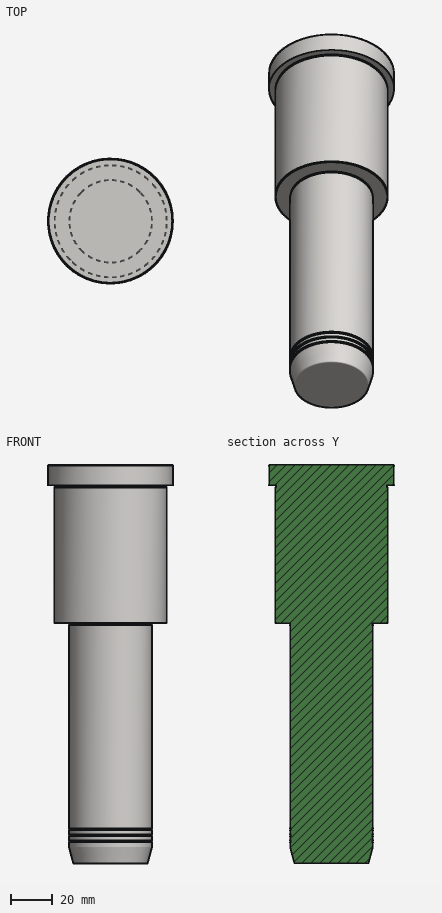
import cadquery as cq
import math

total_length = 191.0
head_diameter = 60.0
head_height = 10.0
head_edge_chamfer = 0.5

body_diameter = 54.0
body_bottom_z = 115.0
body_edge_chamfer = 0.4

pin_diameter = 40.0
nose_height = 8.0
nose_half_angle = 15.0
nose_edge_fillet = 0.5

head_neck_depth = 0.4
head_neck_height = 1.1
pin_neck_depth = 0.2
pin_neck_height = 1.0

groove_count = 3
groove_pitch = 2.9
groove_width = 1.0
groove_depth = 0.4
lowest_groove_z = 10.7

head_bottom_z = total_length - head_height
nose_tip_diameter = pin_diameter - 2 * nose_height * math.tan(math.radians(nose_half_angle))


def cylinder(diameter, bottom_z, top_z):
    """Cylinder on the Z axis between two heights."""
    return cq.Workplane("XY").workplane(offset=bottom_z).circle(diameter / 2).extrude(top_z - bottom_z)


def ring(profile):
    """Ring made by turning an (r, z) outline about the Z axis."""
    return cq.Workplane("XZ").polyline(profile).close().revolve(360, (0, 0, 0), (0, 1, 0))


def neck_cutter(diameter, shoulder_z, height, depth):
    """Relief directly under a shoulder, running out to the shaft at 45 degrees at its lower end."""
    outer = diameter / 2
    inner = outer - depth
    bottom_z = shoulder_z - height
    return ring([(outer, bottom_z), (inner, bottom_z + depth), (inner, shoulder_z), (outer, shoulder_z)])


def groove_cutter(diameter, center_z, width, depth):
    """Shallow groove round a shaft, with 45 degree sides and a flat floor."""
    outer = diameter / 2
    inner = outer - depth
    half_width = width / 2
    half_floor = half_width - depth
    return ring(
        [
            (outer, center_z - half_width),
            (inner, center_z - half_floor),
            (inner, center_z + half_floor),
            (outer, center_z + half_width),
        ]
    )


head = cylinder(head_diameter, head_bottom_z, total_length).faces(">Z").edges().chamfer(head_edge_chamfer)

body = cylinder(body_diameter, body_bottom_z, head_bottom_z).faces("<Z").edges().chamfer(body_edge_chamfer)
body = body.cut(neck_cutter(body_diameter, head_bottom_z, head_neck_height, head_neck_depth))

pin = cylinder(pin_diameter, nose_height, body_bottom_z)
pin = pin.cut(neck_cutter(pin_diameter, body_bottom_z, pin_neck_height, pin_neck_depth))
for index in range(groove_count):
    groove_z = lowest_groove_z + index * groove_pitch
    pin = pin.cut(groove_cutter(pin_diameter, groove_z, groove_width, groove_depth))

nose = (
    cq.Workplane("XY")
    .circle(nose_tip_diameter / 2)
    .workplane(offset=nose_height)
    .circle(pin_diameter / 2)
    .loft()
    .faces("<Z")
    .edges()
    .fillet(nose_edge_fillet)
)

result = head.union(body).union(pin).union(nose)